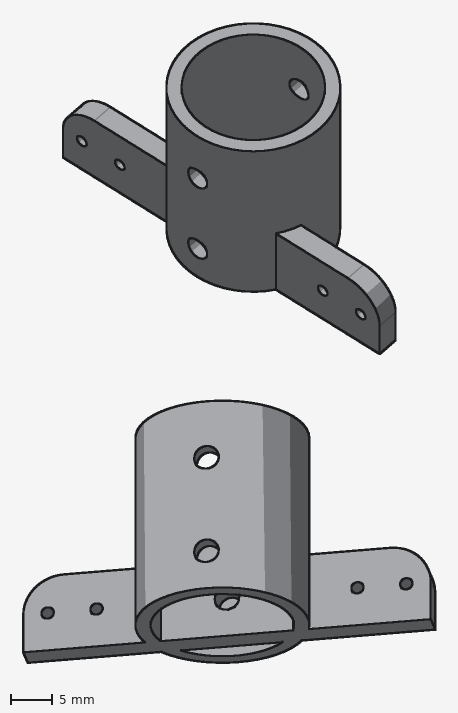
import cadquery as cq

tube_diameter = 21.0
bore_diameter = 17.3
tube_height = 25.0

bar_length = 50.0
bar_height = 10.0
bar_thickness = 3.0
bar_front_y = -6.0
bar_corner_radius = bar_height / 2

pin_hole_diameter = 3.0
pin_hole_heights = (bar_height / 2, 17.5)
screw_hole_diameter = 1.5
screw_hole_height = bar_height / 2
screw_hole_offsets = (16.0, 22.0)


def hole_along_y(x, z, diameter):
    """Cutter that passes through the whole part along Y."""
    return (
        cq.Workplane("XZ")
        .center(x, z)
        .circle(diameter / 2)
        .extrude(tube_diameter, both=True)
    )


def make_tube():
    return (
        cq.Workplane("XY")
        .circle(tube_diameter / 2)
        .circle(bore_diameter / 2)
        .extrude(tube_height)
    )


def make_bar():
    """Flat bar standing on Z = 0, with its two upper end corners rounded."""
    return (
        cq.Workplane("XY")
        .box(bar_length, bar_thickness, bar_height, centered=(True, False, False))
        .edges("|Y and >Z")
        .fillet(bar_corner_radius)
        .translate((0, bar_front_y, 0))
    )


result = make_tube().union(make_bar())

for height in pin_hole_heights:
    result = result.cut(hole_along_y(0, height, pin_hole_diameter))

for offset in screw_hole_offsets:
    for side in (-1, 1):
        result = result.cut(hole_along_y(side * offset, screw_hole_height, screw_hole_diameter))